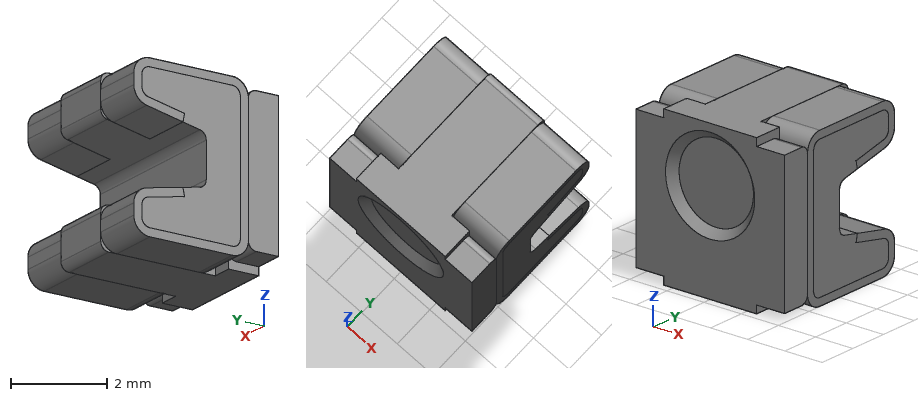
import cadquery as cq
import math

width = 4.0
depth = 3.6
height = 3.95
half_height = height / 2

plate_depth = 0.75
flange_width = 2.5
stem_width = 1.5
small_radius = 0.2

strip_thickness = 0.2
strip_outer_radius = 0.4
strip_inner_radius = strip_outer_radius - strip_thickness
strip_reach_in_slot = 1.22
wing_width = (width - stem_width) / 2
wing_starts = [-width / 2, stem_width / 2]

slot_depth = 1.8
slot_floor_half_height = 0.6
slot_slope = 0.21
slot_floor_y = depth - slot_depth
slot_mouth_half_height = slot_floor_half_height + slot_slope * slot_depth

lens_diameter = 2.0
lens_thickness = 0.2
cup_depth = 0.2
cup_rim_diameter = lens_diameter + 2 * cup_depth
cup_z = half_height - strip_thickness - cup_rim_diameter / 2
inward = cq.Vector(0, 1, 0)


def slot_half_height(y):
    """Half height of the slot at depth y."""
    return slot_floor_half_height + slot_slope * (y - slot_floor_y)


def rounded_corner(before, corner, after):
    """Start, middle and end of the arc that rounds a (y, z, radius) corner."""
    y, z, radius = corner
    length_in = math.hypot(before[0] - y, before[1] - z)
    length_out = math.hypot(after[0] - y, after[1] - z)
    back = ((before[0] - y) / length_in, (before[1] - z) / length_in)
    ahead = ((after[0] - y) / length_out, (after[1] - z) / length_out)
    half_angle = math.acos(back[0] * ahead[0] + back[1] * ahead[1]) / 2
    tangent = radius / math.tan(half_angle)
    bisector = (back[0] + ahead[0], back[1] + ahead[1])
    to_middle = (radius / math.sin(half_angle) - radius) / math.hypot(*bisector)
    start = (y + tangent * back[0], z + tangent * back[1])
    middle = (y + to_middle * bisector[0], z + to_middle * bisector[1])
    end = (y + tangent * ahead[0], z + tangent * ahead[1])
    return start, middle, end


def extrude_symmetric(upper_corners, x_start, x_width):
    """Extrude along X the closed outline of the upper (y, z, radius) corners and their mirror in Z."""
    lower_corners = [(y, -z, radius) for y, z, radius in reversed(upper_corners)]
    corners = upper_corners + lower_corners
    arcs = [
        rounded_corner(corners[i - 1], corners[i], corners[(i + 1) % len(corners)])
        for i in range(len(corners))
    ]
    first_end = arcs[0][2]
    outline = cq.Workplane("YZ", origin=(x_start, 0, 0)).moveTo(*first_end)
    for corner, (start, middle, end) in zip(corners[1:] + corners[:1], arcs[1:] + arcs[:1]):
        outline = outline.lineTo(*start)
        if corner[2] > 0:
            outline = outline.threePointArc(middle, end)
    return outline.close().extrude(x_width)


def make_wing(x_start):
    """Full outline of one wing, including the strip wrapped around it."""
    corners = [
        (plate_depth, half_height, strip_outer_radius),
        (depth, half_height, strip_outer_radius),
        (depth, slot_mouth_half_height, strip_outer_radius),
        (slot_floor_y, slot_floor_half_height, small_radius),
    ]
    return extrude_symmetric(corners, x_start, wing_width)


def make_wing_core(x_start):
    """Part of one wing that belongs to the housing: inside the strip, and bare around the slot floor."""
    inner_top = half_height - strip_thickness
    inner_back = depth - strip_thickness
    slope_length = math.hypot(1, slot_slope)
    lip_z = slot_half_height(inner_back) + strip_thickness * slope_length
    end_y = depth - strip_reach_in_slot
    end_z = slot_half_height(end_y)
    inner_end_y = end_y - strip_thickness * slot_slope / slope_length
    inner_end_z = end_z + strip_thickness / slope_length
    corners = [
        (plate_depth + strip_thickness, inner_top, strip_inner_radius),
        (inner_back, inner_top, strip_inner_radius),
        (inner_back, lip_z, strip_inner_radius),
        (inner_end_y, inner_end_z, 0),
        (end_y, end_z, 0),
        (slot_floor_y, slot_floor_half_height, small_radius),
    ]
    return extrude_symmetric(corners, x_start, wing_width)


def make_terminal(x_start):
    """C-shaped metal strip around one wing, with both ends bent into the slot."""
    return make_wing(x_start).cut(make_wing_core(x_start))


def make_stem():
    """Middle of the housing between the terminals, from the front face to the back."""
    corners = [
        (0, half_height, 0),
        (depth, half_height, small_radius),
        (depth, slot_mouth_half_height, small_radius),
        (slot_floor_y, slot_floor_half_height, small_radius),
    ]
    return extrude_symmetric(corners, -stem_width / 2, stem_width)


def make_plate():
    """Front plate, lower than the stem, with a full-height flange across its middle."""
    plate_corners = [
        (0, half_height - strip_thickness, 0),
        (plate_depth, half_height - strip_thickness, small_radius),
    ]
    plate = extrude_symmetric(plate_corners, -width / 2, width)
    flange = cq.Workplane("XY").box(flange_width, plate_depth, height, centered=(True, False, True))
    return plate.union(flange)


def make_lens():
    """Disc that fills the seat below the cone."""
    front_center = cq.Vector(0, cup_depth, cup_z)
    disc = cq.Solid.makeCylinder(lens_diameter / 2, lens_thickness, front_center, inward)
    return cq.Workplane(disc)


def make_cup():
    """Cone that narrows from the rim in the front face to the lens, plus the seat of the lens."""
    rim_radius = cup_rim_diameter / 2
    lens_radius = lens_diameter / 2
    rim_center = cq.Vector(0, 0, cup_z)
    cone = cq.Solid.makeCone(rim_radius, lens_radius, cup_depth, rim_center, inward)
    return cq.Workplane(cone).union(make_lens())


def make_housing():
    """Plate, stem and both wing cores in one piece, with the cup cut into the front face."""
    body = make_stem().union(make_plate())
    for x_start in wing_starts:
        body = body.union(make_wing_core(x_start))
    return body.cut(make_cup())


housing = make_housing()
lens = make_lens()
terminals = [make_terminal(x_start) for x_start in wing_starts]

result = cq.Compound.makeCompound(
    [housing.val(), lens.val(), *[terminal.val() for terminal in terminals]]
)